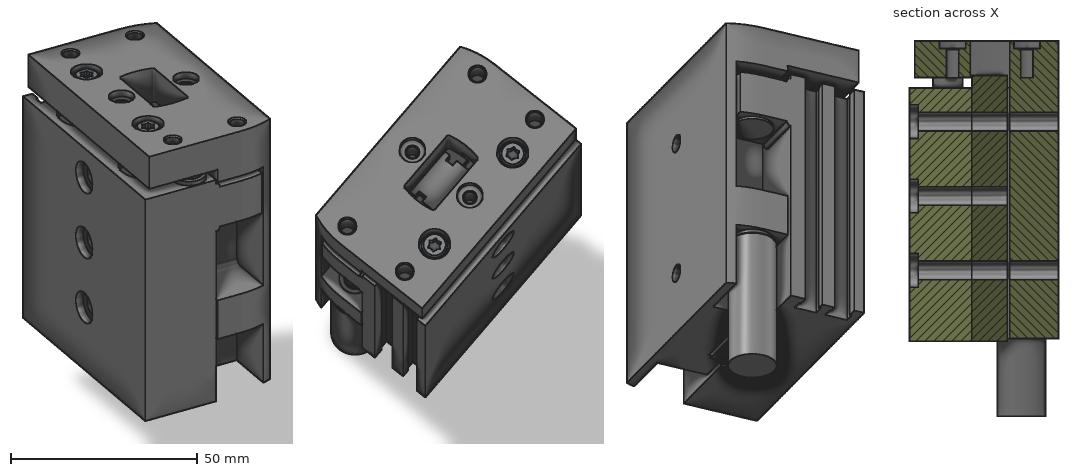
import cadquery as cq
import math


total_height = 100.8
depth = 40.0
housing_width = 66.0
housing_bottom = 20.2
housing_top = 88.2
housing_back = 21.9

slide_width = 65.1
slide_front = 1.4
slide_bottom = 20.9
plate_underside = 91.0
slide_face = 22.6
back_plate_face = 37.4
side_arc_start = 30.0
side_arc_inset = 2.0

recess_wall = 17.1
recess_fillet = 2.1
left_recess_top = 89.3
right_recess_top = 87.1
absorber_lug_bottom = 38.9
absorber_lug_top = 50.8
stop_lug_inner = 18.7
stop_lug_back = 36.6
stop_lug_bottom = 73.6
stop_lug_top = 85.8
stop_lug_root_fillet = 1.2

groove_ranges = [(2.9, 8.4), (12.1, 17.5)]
groove_undercut = 0.5
groove_lip = 2.9
groove_depth = 5.5
rib_setback = 0.8

slot_front = 16.3
slot_back = 26.9
slot_front_half = 9.5
slot_mid_half = 10.1
slot_back_half = 9.4
slot_corner_radius = 0.8
rail_half = 7.4
rail_front = 16.7
rail_back = 26.3
rail_top = 91.6
rail_notch_front = 22.2
rail_notch_back = 24.6
rail_notch_depth = 1.7
hook_front = 20.8
housing_filler_back = 20.2

rod_x = 16.5
rod_y = 10.3
rod_diameter = 8.1
rod_recess_diameter = 16.0
rod_recess_depth = 3.0
rod_bottom = 30.3
shank_diameter = 4.1
head_bore_diameter = 8.5
head_diameter = 7.0
head_chamfer = 0.5
head_seat_depth = 5.0
head_top_depth = 0.8
star_outer_radius = 1.9
star_inner_radius = 1.4
star_points = 6
star_depth = 2.5

hole_pitch_y = 20.0
hole_front_y = 11.6
hole_rows = [hole_front_y, hole_front_y + hole_pitch_y]
thread_x = 27.5
thread_diameter = 4.1
thread_chamfer = 0.4
thread_depth = 8.1
centre_bore_diameter = 7.0
centre_bore_depth = 2.0
centre_hole_diameter = 3.2
centre_hole_chamfer = 0.3

cross_hole_z = 59.2
cross_hole_pitch = 20.0
cross_hole_diameter = 4.9
cross_bore_diameter = 9.0
cross_bore_depth = 2.3

absorber_x = -26.1
absorber_y = 30.1
absorber_diameter = 13.0
absorber_chamfer = 0.5
absorber_body_top = 37.7
collar_diameter = 11.1
stem_diameter = 8.5
stem_top = 50.4
tip_diameter = 6.0
tip_top = 52.1
tip_chamfer = 0.4
stop_pad_diameter = 11.3
stop_pad_thickness = 0.7
plug_x = 27.9
plug_y = 16.3
plug_diameter = 9.5
plug_height = 1.2
plug_cap_diameter = 7.0
plug_cap_height = 1.0

rod_positions = [(side * rod_x, rod_y) for side in (-1, 1)]


def box(x, y, z):
    """Box between the given (low, high) ranges."""
    size = [high - low for low, high in (x, y, z)]
    return cq.Workplane("XY").box(*size, centered=False).translate((x[0], y[0], z[0]))


def cylinder(x, y, diameter, bottom, top):
    """Upright cylinder."""
    return cq.Workplane("XY", origin=(x, y, bottom)).circle(diameter / 2).extrude(top - bottom)


def cross_holes(heights, diameter, start, end):
    """Cylinders along Y on the centre plane."""
    plane = cq.Workplane("XZ", origin=(0, start, 0))
    return plane.pushPoints([(0, z) for z in heights]).circle(diameter / 2).extrude(start - end)


def curved_profile(width, front, bottom, top):
    """Full-depth prism with straight sides that curve inwards towards the back."""
    half = width / 2
    mid_y = (side_arc_start + depth) / 2
    run = depth - side_arc_start
    radius = (run**2 + side_arc_inset**2) / (2 * side_arc_inset)
    mid_inset = radius - math.sqrt(radius**2 - (mid_y - side_arc_start) ** 2)
    return (
        cq.Workplane("XY", origin=(0, 0, bottom))
        .moveTo(-half, front)
        .lineTo(half, front)
        .lineTo(half, side_arc_start)
        .threePointArc((half - mid_inset, mid_y), (half - side_arc_inset, depth))
        .lineTo(-half + side_arc_inset, depth)
        .threePointArc((-half + mid_inset, mid_y), (-half, side_arc_start))
        .close()
        .extrude(top - bottom)
    )


def slot_prism(bottom, top):
    """Guide slot with bowed ends and rounded corners."""
    mid_y = (slot_front + slot_back) / 2
    return (
        cq.Workplane("XY", origin=(0, 0, bottom))
        .moveTo(-slot_front_half, slot_front)
        .lineTo(slot_front_half, slot_front)
        .threePointArc((slot_mid_half, mid_y), (slot_back_half, slot_back))
        .lineTo(-slot_back_half, slot_back)
        .threePointArc((-slot_mid_half, mid_y), (-slot_front_half, slot_front))
        .close()
        .extrude(top - bottom)
        .edges("|Z")
        .fillet(slot_corner_radius)
    )


def groove(front, back):
    """T-shaped sensor groove, wider behind its lips than at its mouth."""
    outside = -housing_width / 2
    height = (housing_bottom, housing_top)
    mouth = box((outside, outside + groove_lip), (front, back), height)
    inside = (front - groove_undercut, back + groove_undercut)
    return mouth.union(box((outside + groove_lip, outside + groove_depth), inside, height))


def stop_lug(side):
    """Lug of the housing that reaches back into a side recess of the slide."""
    outer = housing_width / 2
    root = stop_lug_root_fillet
    x_range = sorted((side * stop_lug_inner, side * outer))
    envelope = curved_profile(housing_width, 0, housing_bottom, housing_top)
    block = (
        cq.Workplane("YZ", origin=(x_range[0], 0, 0))
        .moveTo(housing_back, stop_lug_bottom - root)
        .radiusArc((housing_back + root, stop_lug_bottom), -root)
        .lineTo(stop_lug_back, stop_lug_bottom)
        .lineTo(stop_lug_back, stop_lug_top)
        .lineTo(housing_back + root, stop_lug_top)
        .radiusArc((housing_back, stop_lug_top + root), -root)
        .close()
        .extrude(x_range[1] - x_range[0])
    )
    return block.intersect(envelope)


def make_housing():
    half = housing_width / 2
    height = (housing_bottom, housing_top)
    body = box((-half, half), (0, housing_back), height)

    for front, back in groove_ranges:
        body = body.cut(groove(front, back))
    rib_range = (groove_ranges[0][1], groove_ranges[1][0])
    body = body.cut(box((-half, -half + rib_setback), rib_range, height))

    channel = slot_prism(*height).intersect(box((-half, half), (housing_filler_back, depth), height))
    body = body.cut(channel)
    body = body.cut(box((-rail_half, rail_half), (rail_front, housing_back), height))

    for side in (-1, 1):
        body = body.union(stop_lug(side))
    pad_bottom = stop_lug_bottom - stop_pad_thickness
    body = body.union(cylinder(absorber_x, absorber_y, stop_pad_diameter, pad_bottom, stop_lug_bottom))

    plug_top = housing_top + plug_height
    body = body.union(cylinder(plug_x, plug_y, plug_diameter, housing_top, plug_top))
    body = body.union(cylinder(plug_x, plug_y, plug_cap_diameter, plug_top, plug_top + plug_cap_height))

    recess_floor = housing_top - rod_recess_depth
    for x, y in rod_positions:
        body = body.cut(cylinder(x, y, rod_diameter, rod_bottom, housing_top))
        body = body.cut(cylinder(x, y, rod_recess_diameter, recess_floor, housing_top))

    heights = [cross_hole_z + step * cross_hole_pitch for step in (-1, 0, 1)]
    body = body.cut(cross_holes(heights, cross_hole_diameter, 0, housing_back))
    return body.cut(cross_holes(heights, cross_bore_diameter, 0, cross_bore_depth))


def recess_pocket(side, bottom, top, rounded):
    """Pocket from one side of the slide to the recess wall, with rounded ends at that wall."""
    x_range = sorted((side * recess_wall, side * slide_width / 2))
    pocket = box(x_range, (slide_front, back_plate_face), (bottom, top))
    wall = "<X" if side > 0 else ">X"
    for end in rounded:
        pocket = pocket.edges(f"{wall} and {end}").fillet(recess_fillet)
    return pocket


def chamfered_hole(x, y, diameter, chamfer, top, bottom):
    """Hole with a chamfered mouth, as a solid to cut away."""
    radius = diameter / 2
    mouth = cq.Solid.makeCone(radius, radius + chamfer, chamfer, cq.Vector(x, y, top - chamfer))
    return cylinder(x, y, diameter, bottom, top).union(cq.Workplane(mouth))


def make_slide():
    body = curved_profile(slide_width, slide_front, slide_bottom, total_height)
    half = slide_width / 2

    body = body.cut(box((-half, half), (0, slide_face), (slide_bottom, plate_underside)))

    for side, recess_top in ((-1, left_recess_top), (1, right_recess_top)):
        body = body.cut(recess_pocket(side, absorber_lug_top, recess_top, (">Z", "<Z")))
        body = body.cut(recess_pocket(side, slide_bottom, absorber_lug_bottom, (">Z",)))
    body = body.cut(cylinder(absorber_x, absorber_y, stem_diameter, absorber_lug_bottom, absorber_lug_top))

    body = body.cut(slot_prism(slide_bottom, total_height))
    height = (slide_bottom, housing_top)
    hooks = slot_prism(*height).intersect(box((-half, half), (hook_front, depth), height))
    hooks = hooks.cut(box((-rail_half, rail_half), (0, depth), height))
    notch_inner = rail_half - rail_notch_depth
    for side in (-1, 1):
        x_range = sorted((side * notch_inner, side * (rail_half + rail_notch_depth)))
        hooks = hooks.union(box(x_range, (rail_notch_front, rail_notch_back), height))
    body = body.union(hooks)

    for y in hole_rows:
        for x in (-thread_x, thread_x):
            bottom = total_height - thread_depth
            hole = chamfered_hole(x, y, thread_diameter, thread_chamfer, total_height, bottom)
            body = body.cut(hole)
        seat = total_height - centre_bore_depth
        body = body.cut(cylinder(0, y, centre_bore_diameter, seat, total_height))
        hole = chamfered_hole(0, y, centre_hole_diameter, centre_hole_chamfer, seat, plate_underside)
        body = body.cut(hole)

    for x, y in rod_positions:
        body = body.cut(cylinder(x, y, shank_diameter, plate_underside, total_height))
        body = body.cut(cylinder(x, y, head_bore_diameter, total_height - head_seat_depth, total_height))

    heights = [cross_hole_z - cross_hole_pitch, cross_hole_z + cross_hole_pitch]
    return body.cut(cross_holes(heights, cross_hole_diameter, slide_face, depth))


def make_rail():
    height = (housing_bottom, rail_top)
    body = box((-rail_half, rail_half), (rail_front, rail_back), height)
    notch_inner = rail_half - rail_notch_depth
    for side in (-1, 1):
        x_range = sorted((side * notch_inner, side * rail_half))
        body = body.cut(box(x_range, (rail_notch_front, rail_notch_back), height))
    heights = [cross_hole_z + step * cross_hole_pitch for step in (-1, 0, 1)]
    return body.cut(cross_holes(heights, cross_hole_diameter, rail_front, rail_back))


def make_rod(x, y):
    """Piston rod with the screw head that holds the end plate on it."""
    head_top = total_height - head_top_depth
    seat = total_height - head_seat_depth
    head = cylinder(x, y, head_diameter, seat, head_top).faces(">Z").chamfer(head_chamfer)
    points = []
    for index in range(2 * star_points):
        radius = star_inner_radius if index % 2 else star_outer_radius
        angle = math.pi / 2 + index * math.pi / star_points
        points.append((x + radius * math.cos(angle), y + radius * math.sin(angle)))
    star = cq.Workplane("XY", origin=(0, 0, head_top)).polyline(points).close().extrude(-star_depth)
    rod = cylinder(x, y, rod_diameter, rod_bottom, plate_underside)
    return rod.union(cylinder(x, y, shank_diameter, plate_underside, seat)).union(head).cut(star)


def make_shock_absorber():
    x, y = absorber_x, absorber_y
    body = cylinder(x, y, absorber_diameter, 0, absorber_body_top).faces(">Z").chamfer(absorber_chamfer)
    body = body.union(cylinder(x, y, collar_diameter, absorber_body_top, absorber_lug_bottom))
    body = body.union(cylinder(x, y, stem_diameter, absorber_lug_bottom, stem_top))
    return body.union(cylinder(x, y, tip_diameter, stem_top, tip_top).faces(">Z").chamfer(tip_chamfer))


housing = make_housing()
slide = make_slide()
rail = make_rail()
rods = [make_rod(x, y) for x, y in rod_positions]
shock_absorber = make_shock_absorber()

result = cq.Compound.makeCompound(
    [housing.val(), slide.val(), rail.val(), *[rod.val() for rod in rods], shock_absorber.val()]
)